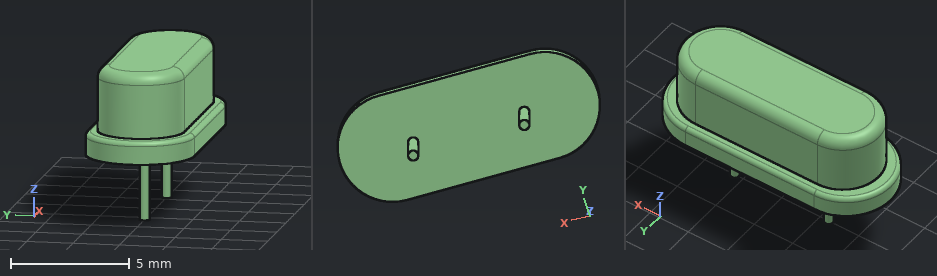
import cadquery as cq

base_length = 11.35
base_width = 4.65
base_height = 1.0
base_edge_radius = 0.2

can_length = 10.05
can_width = 3.7
can_edge_radius = 0.5
case_height = 3.8

pin_diameter = 0.43
pin_length = 3.0
pin_spacing = 4.88


def rounded_block(length, width, height, edge_radius):
    """Upright stadium-shaped block on Z = 0 with a rounded top edge."""
    block = cq.Workplane("XY").slot2D(length, width).extrude(height)
    return block.faces(">Z").edges().fillet(edge_radius)


def make_case():
    """Base flange and can as one solid."""
    base = rounded_block(base_length, base_width, base_height, base_edge_radius)
    can = rounded_block(can_length, can_width, case_height, can_edge_radius)
    return base.union(can)


def make_pin(x):
    """Round lead hanging from the underside of the base."""
    return cq.Workplane("XY").center(x, 0).circle(pin_diameter / 2).extrude(-pin_length)


case = make_case()
pins = [make_pin(side * pin_spacing / 2) for side in (-1, 1)]

result = cq.Compound.makeCompound([case.val(), *[pin.val() for pin in pins]])